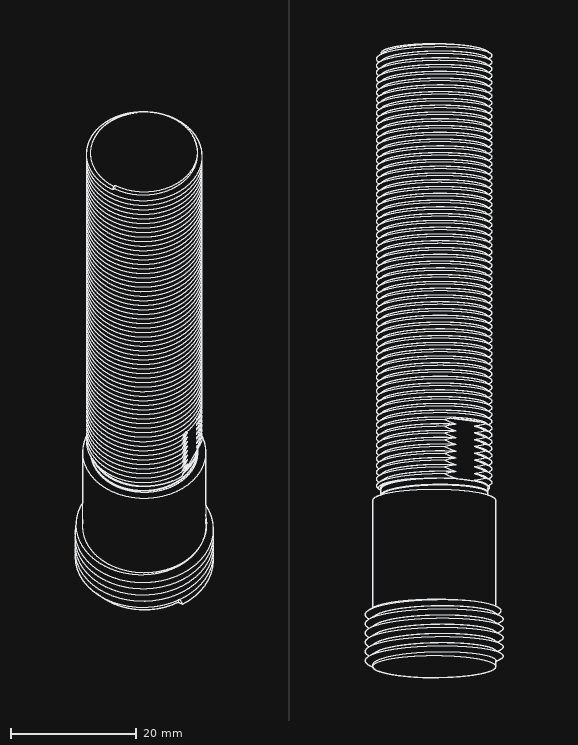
import cadquery as cq
import math

TOTAL_LENGTH = 99.6
BASE_THREAD_LENGTH = 9.0
SHOULDER_HEIGHT = 27.0
RELIEF_LENGTH = 2.1
FLAT_LENGTH = 9.7
RELIEF_TOP = SHOULDER_HEIGHT + RELIEF_LENGTH

BODY_RADIUS = 9.85
BASE_CREST_RADIUS = 11.05
BASE_PITCH = 1.5
BASE_START_ANGLE = -33.0

SHANK_RADIUS = 8.5
SHANK_CREST_RADIUS = 9.25
SHANK_PITCH = 1.1
SHANK_START_ANGLE = 180.0
SHANK_END_ANGLE = 260.0
RELIEF_RADIUS = 8.58
FLAT_SPACING = 16.6

TOOTH_FILL = 0.98
ROOT_OVERLAP = 0.02
CORE_OVERRUN = 2 * BASE_PITCH

CLEAR_RADIUS = 2 * BASE_CREST_RADIUS


def cylinder(radius, bottom, top):
    return cq.Workplane("XY").workplane(offset=bottom).circle(radius).extrude(top - bottom)


def helical_tooth(core_radius, crest_radius, pitch, start_crest_height, start_angle, turns):
    """Right-handed sharp V tooth, made of one set of faces per turn and closed at both ends."""
    flank_slope = TOOTH_FILL * pitch / 2 / (crest_radius - core_radius)
    root_radius = core_radius - ROOT_OVERLAP
    half_root = flank_slope * (crest_radius - root_radius)

    faces = []
    for turn in range(math.ceil(turns)):
        rise = pitch * min(1, turns - turn)
        crest_height = start_crest_height + turn * pitch
        lower, crest, upper = [
            cq.Wire.makeHelix(pitch, rise, radius, cq.Vector(0, 0, crest_height + offset))
            for radius, offset in ((root_radius, -half_root), (crest_radius, 0), (root_radius, half_root))
        ]
        edges = (lower, crest, upper)
        for first, second in ((lower, crest), (crest, upper), (upper, lower)):
            faces.append(cq.Face.makeRuledSurface(first, second))
        if turn == 0:
            start_corners = [edge.startPoint() for edge in edges]
    end_corners = [edge.endPoint() for edge in edges]

    for corners in (start_corners, end_corners):
        faces.append(cq.Face.makeFromWires(cq.Wire.makePolygon(corners, close=True)))
    tooth = cq.Solid.makeSolid(cq.Shell.makeShell(faces))
    return cq.Workplane(obj=tooth).rotate((0, 0, 0), (0, 0, 1), start_angle)


def make_base():
    """Plain body whose lower end carries the coarse thread, trimmed square at both ends."""
    start_crest_height = BASE_PITCH * (1 / 2 + BASE_START_ANGLE / 360)
    turns = BASE_THREAD_LENGTH / BASE_PITCH + 1
    tooth = helical_tooth(
        BODY_RADIUS, BASE_CREST_RADIUS, BASE_PITCH, start_crest_height, BASE_START_ANGLE, turns
    )
    core = cylinder(BODY_RADIUS, -CORE_OVERRUN, BASE_THREAD_LENGTH + CORE_OVERRUN)
    threaded = core.union(tooth).intersect(cylinder(CLEAR_RADIUS, 0, BASE_THREAD_LENGTH))
    return threaded.union(cylinder(BODY_RADIUS, BASE_THREAD_LENGTH, SHOULDER_HEIGHT))


def shank_envelope():
    """Space that the threaded shank is trimmed to: the relief, the flats and the square ends."""
    relief = cylinder(RELIEF_RADIUS, SHOULDER_HEIGHT, RELIEF_TOP)
    flats = (
        cq.Workplane("XY")
        .workplane(offset=RELIEF_TOP)
        .rect(FLAT_SPACING, 2 * CLEAR_RADIUS)
        .extrude(FLAT_LENGTH)
    )
    upper = cylinder(CLEAR_RADIUS, RELIEF_TOP + FLAT_LENGTH, TOTAL_LENGTH)
    return relief.union(flats).union(upper)


def make_shank():
    start_crest_height = SHOULDER_HEIGHT - SHANK_PITCH / 2
    full_turns = round((TOTAL_LENGTH - SHOULDER_HEIGHT) / SHANK_PITCH)
    turns = full_turns + (SHANK_END_ANGLE - SHANK_START_ANGLE) / 360
    tooth = helical_tooth(
        SHANK_RADIUS, SHANK_CREST_RADIUS, SHANK_PITCH, start_crest_height, SHANK_START_ANGLE, turns
    )
    core = cylinder(SHANK_RADIUS, SHOULDER_HEIGHT - CORE_OVERRUN, TOTAL_LENGTH + CORE_OVERRUN)
    return core.union(tooth).intersect(shank_envelope())


result = make_base().union(make_shank())